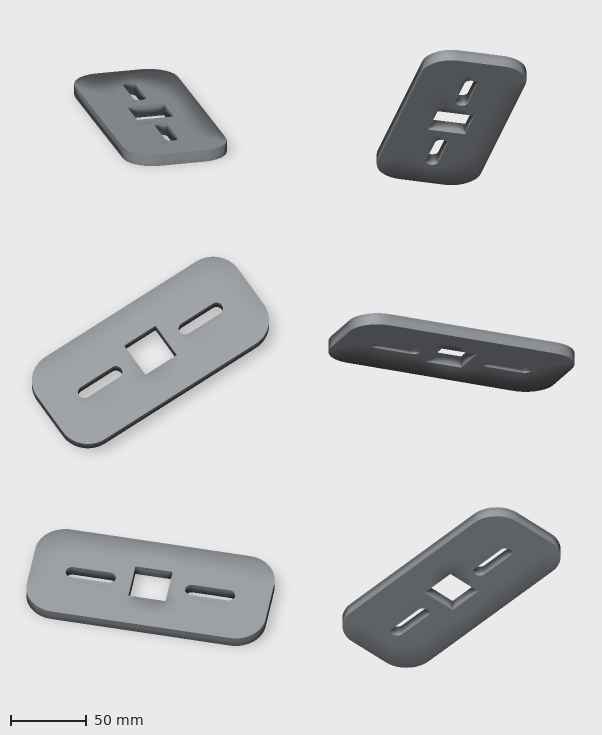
import cadquery as cq

length = 160.0
width = 70.0
thickness = 8.0
corner_radius = length / 8

window_side = 25.0

slot_width = 8.5
slot_straight = window_side
slot_length = slot_straight + slot_width
slot_spacing = length / 2

plate = (
    cq.Workplane("XY")
    .box(length, width, thickness)
    .edges("|Z")
    .fillet(corner_radius)
)

window = cq.Workplane("XY").box(window_side, window_side, thickness)

slots = (
    cq.Workplane("XY")
    .workplane(offset=-thickness / 2)
    .pushPoints([(-slot_spacing / 2, 0), (slot_spacing / 2, 0)])
    .slot2D(slot_length, slot_width)
    .extrude(thickness)
)

result = plate.cut(window).cut(slots)